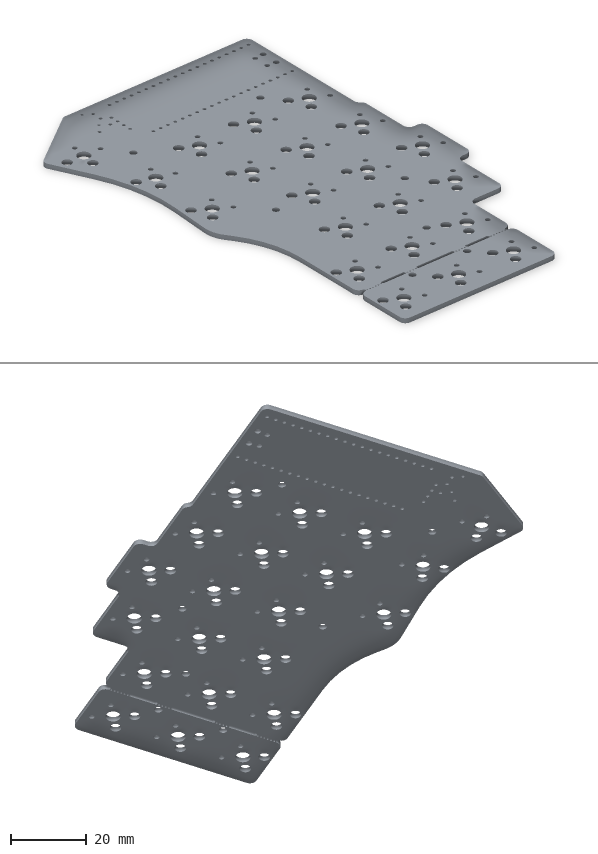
import cadquery as cq
import math

length = 138.8
depth = 90.0
thickness = 1.5
left = -length / 2
right = length / 2
front = -depth / 2
back = depth / 2
corner_radius = 2.0

switch_post_diameter = 4.0
switch_socket_diameter = 3.0
switch_lead_diameter = 1.5
mount_diameter = 2.2
pin_diameter = 1.01
jack_pin_diameter = 1.0
jack_peg_diameter = 0.8
perforation_diameter = 0.5
locator_large_diameter = 1.8
locator_small_diameter = 1.5

pins_per_row = 20
pin_row_length = 48.3
pin_pitch = pin_row_length / (pins_per_row - 1)
pin_row_spacing = 17.9
controller_x = -57.3
back_pin_y = 35.8
locator_large_spacing = 5.4
locator_large_y = 35.5
locator_small_spacing = 4.9
locator_small_y = 32.6

rows_from_middle = (-1, 0, 1)
pins_per_key = 7.5
key_pitch = pins_per_key * pin_pitch
last_column_x = 60.5
column_middle_y = [11.1, 13.2, 18.0, 13.2, 1.1, 1.1]
thumb_keys = [(-50.7, -34.7, 25), (-29.5, -27.6, 10), (-7.6, -26.6, -5)]

post_steps = [(0, 0)]
socket_steps = [(-1, -2), (1.5, -1)]
lead_steps = [(-1.5, 1), (1, 2)]

display_pins = 4
display_first_x = -61.0
display_y = -16.4
jack_pins = [(-65.5, -18.9), (-62.5, -18.9), (-58.5, -18.9), (-57.3, -23.6)]
jack_pegs = [(-67.0, -21.4), (-60.1, -21.4)]

mounts = [
    (-43.3, 20.4),
    (-43.3, -23.7),
    (3.7, -14.2),
    (13.3, 22.5),
    (36.6, 10.3),
    (52.9, 10.5),
    (52.9, -8.5),
]

controller_back = 38.2
shoulder_back = 39.8
outer_back = 27.9
outer_front = -25.3
shoulder_x = -24.3
shoulder_run = 1.18
tower_left = -5.7
tower_right = 14.3
shoulder_right = 33.5
left_edge_front = -26.0

thumb_tip_overshoot = 0.5
thumb_tip = (-55.0, front - thumb_tip_overshoot)
thumb_bend = (-28.6, -32.9)
thumb_end = (2.1, -35.0)
palm_bend = (16.0, outer_front)
thumb_bend_radius = 54.1
thumb_end_radius = 9.7
palm_bend_radius = 34.7

seam_width = 1.0
seam_x = 50.8
perforation_x = 51.1
perforation_pitch = 1.0
seam_middle_y = (outer_back + outer_front) / 2
inner_tab = (8.5, 4.0, 4)
outer_tab = (21.5, 5.5, 6)


def rounded_plate(corners):
    """Extrude a closed outline given as (x, y, radius) corners, each rounded by a tangent arc."""
    arcs = []
    for i, (x, y, radius) in enumerate(corners):
        before = cq.Vector(*corners[i - 1][:2])
        after = cq.Vector(*corners[(i + 1) % len(corners)][:2])
        corner = cq.Vector(x, y)
        to_before = (before - corner).normalized()
        to_after = (after - corner).normalized()
        half_angle = to_before.getAngle(to_after) / 2
        setback = radius / math.tan(half_angle)
        bisector = (to_before + to_after).normalized()
        middle = corner + bisector * (radius / math.sin(half_angle) - radius)
        arcs.append((corner + to_before * setback, middle, corner + to_after * setback))
    outline = cq.Workplane("XY").moveTo(*arcs[0][0].toTuple()[:2])
    for i, (start, middle, end) in enumerate(arcs):
        if i > 0:
            outline = outline.lineTo(start.x, start.y)
        outline = outline.threePointArc((middle.x, middle.y), (end.x, end.y))
    return outline.close().extrude(thickness)


def main_plate():
    """Plate that carries the controller, the thumb keys and the inner five columns."""
    r = corner_radius
    seam_left = seam_x - seam_width / 2
    return rounded_plate([
        (left, left_edge_front, r),
        (left, controller_back, r),
        (shoulder_x - shoulder_run / 2, controller_back, r),
        (shoulder_x + shoulder_run / 2, shoulder_back, r),
        (tower_left, shoulder_back, r),
        (tower_left, back, r),
        (tower_right, back, r),
        (tower_right, shoulder_back, r),
        (shoulder_right, shoulder_back, r),
        (shoulder_right, outer_back, r),
        (seam_left, outer_back, r),
        (seam_left, outer_front, r),
        (*palm_bend, palm_bend_radius),
        (*thumb_end, thumb_end_radius),
        (*thumb_bend, thumb_bend_radius),
        (*thumb_tip, r),
    ])


def outer_plate():
    """Plate that carries the break-off outer column."""
    seam_right = seam_x + seam_width / 2
    return rounded_plate([
        (seam_right, outer_front, corner_radius),
        (seam_right, outer_back, corner_radius),
        (right, outer_back, corner_radius),
        (right, outer_front, corner_radius),
    ])


def seam_bridge():
    """Strip that fills the seam between the far ends of the outer tabs."""
    outer_middle, outer_width, _ = outer_tab
    bridge_length = 2 * outer_middle + outer_width + seam_width
    return (
        cq.Workplane("XY")
        .center(seam_x, seam_middle_y)
        .rect(seam_width, bridge_length)
        .extrude(thickness)
    )


def seam_slots():
    """Round-ended slots between neighbouring tabs and beyond the outer ones."""
    inner_start = inner_tab[0] - inner_tab[1] / 2
    inner_end = inner_tab[0] + inner_tab[1] / 2
    outer_start = outer_tab[0] - outer_tab[1] / 2
    outer_end = outer_tab[0] + outer_tab[1] / 2
    beyond = (outer_back - outer_front) / 2 + seam_width
    spans = [
        (-beyond, -outer_end),
        (-outer_start, -inner_end),
        (-inner_start, inner_start),
        (inner_end, outer_start),
        (outer_end, beyond),
    ]
    slots = cq.Workplane("XY")
    for start, end in spans:
        slot = (
            cq.Workplane("XY")
            .center(seam_x, seam_middle_y + (start + end) / 2)
            .slot2D(end - start, seam_width, 90)
            .extrude(thickness)
        )
        slots = slots.add(slot)
    return slots.combine()


def perforations():
    """Centres of the small holes along each tab."""
    points = []
    for middle, _, count in (inner_tab, outer_tab):
        for side in (-1, 1):
            for i in range(count):
                shift = (i - (count - 1) / 2) * perforation_pitch
                points.append((perforation_x, seam_middle_y + side * middle + shift))
    return points


def switches():
    """Position and turn in degrees of every switch."""
    places = []
    columns = len(column_middle_y)
    for column, middle_y in enumerate(column_middle_y):
        x = last_column_x - (columns - 1 - column) * key_pitch
        for row in rows_from_middle:
            places.append((x, middle_y + row * key_pitch, 0))
    return places + thumb_keys


def footprint_points(steps):
    """Centres of the given footprint holes at every switch."""
    points = []
    for x, y, turn in switches():
        cos = math.cos(math.radians(turn))
        sin = math.sin(math.radians(turn))
        for step_x, step_y in steps:
            offset_x = pin_pitch * (step_x * cos - step_y * sin)
            offset_y = pin_pitch * (step_x * sin + step_y * cos)
            points.append((x + offset_x, y + offset_y))
    return points


def drill(plate, points, diameter):
    """Cut through holes of one diameter at the given centres."""
    return plate.cut(cq.Workplane("XY").pushPoints(points).circle(diameter / 2).extrude(thickness))


def mirrored_pair(spacing, y):
    """Two points either side of the controller's centre line."""
    return [(controller_x - spacing / 2, y), (controller_x + spacing / 2, y)]


controller_pins = []
for pin in range(pins_per_row):
    controller_pins += mirrored_pair(pin_row_spacing, back_pin_y - pin * pin_pitch)
display_points = [(display_first_x + pin * pin_pitch, display_y) for pin in range(display_pins)]

plate = main_plate().union(outer_plate()).union(seam_bridge()).cut(seam_slots())
plate = drill(plate, perforations(), perforation_diameter)
plate = drill(plate, footprint_points(post_steps), switch_post_diameter)
plate = drill(plate, footprint_points(socket_steps), switch_socket_diameter)
plate = drill(plate, footprint_points(lead_steps), switch_lead_diameter)
plate = drill(plate, mounts, mount_diameter)
plate = drill(plate, controller_pins, pin_diameter)
plate = drill(plate, mirrored_pair(locator_large_spacing, locator_large_y), locator_large_diameter)
plate = drill(plate, mirrored_pair(locator_small_spacing, locator_small_y), locator_small_diameter)
plate = drill(plate, display_points + jack_pins, jack_pin_diameter)
result = drill(plate, jack_pegs, jack_peg_diameter)